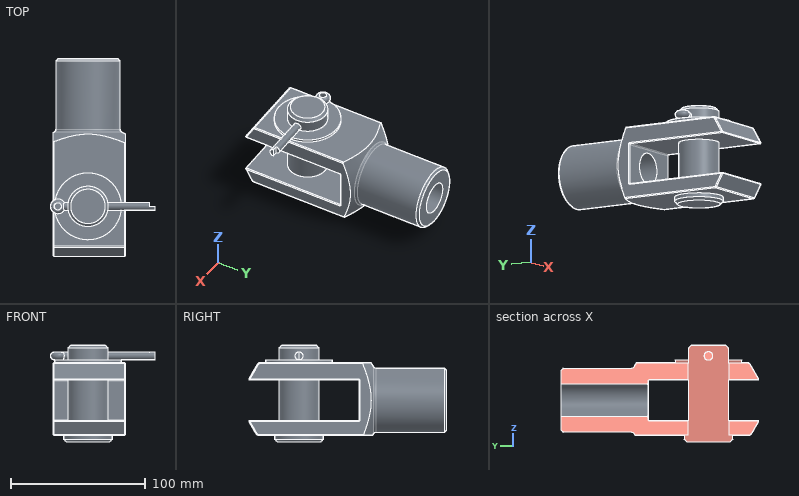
import cadquery as cq
import math


fork_left = -26.1
fork_right = 28.0
fork_bottom = -26.1
fork_top = 28.0
fork_tip_y = -37.5
fork_chamfer = 0.7
tip_bevel_angle = 30
slot_height = 30.3
slot_end_y = 44.9
slot_corner_radius = 0.7

shank_radius = 24.0
shank_end_y = 110.1
shank_chamfer = 1.8
shoulder_y = 55.5
shoulder_cone_angle = 30
neck_fillet = 2.2
bore_radius = 12.0

pin_radius = 15.0
pin_top = 41.2
pin_chamfer = 2.2
head_radius = 18.2
head_thickness = 5.2
head_chamfer = 2.2

washer_radius = 25.0
washer_thickness = 2.0

wire_radius = 3.0
eye_x = -22.5
eye_hole_radius = 2.7
short_leg_end = 45.9
long_leg_end = 50.0

head_bottom = fork_bottom - head_thickness
washer_top = fork_top + washer_thickness
split_pin_z = washer_top + wire_radius


def z_cylinder(radius, bottom, top):
    return cq.Workplane("XY").workplane(offset=bottom).circle(radius).extrude(top - bottom)


def x_cylinder(radius, start, end):
    return (
        cq.Workplane("YZ", origin=(start, 0, split_pin_z)).circle(radius).extrude(end - start)
    )


def make_fork_block():
    """Slotted, chamfered block with bevelled tips; the shoulder cone later trims its back."""
    width = fork_right - fork_left
    angle = math.radians(tip_bevel_angle)
    half_slot = slot_height / 2
    sharp_tip_y = fork_tip_y - fork_chamfer * math.sin(angle)
    top_y = sharp_tip_y + (fork_top - half_slot) * math.tan(angle)
    bottom_y = sharp_tip_y + (-fork_bottom - half_slot) * math.tan(angle)
    block = (
        cq.Workplane("YZ", origin=(fork_left, 0, 0))
        .polyline([
            (top_y, fork_top),
            (sharp_tip_y, half_slot),
            (slot_end_y, half_slot),
            (slot_end_y, -half_slot),
            (sharp_tip_y, -half_slot),
            (bottom_y, fork_bottom),
            (shoulder_y, fork_bottom),
            (shoulder_y, fork_top),
        ])
        .close()
        .extrude(width)
    )
    slot_corners = cq.selectors.BoxSelector(
        (fork_left, slot_end_y - slot_corner_radius, -slot_height),
        (fork_right, slot_end_y + slot_corner_radius, slot_height),
    )
    block = block.edges("|X").edges(slot_corners).fillet(slot_corner_radius)
    side_edges = block.faces("<X or >X").edges("not >Y")
    tip_edges = block.edges("|X").edges(
        cq.selectors.BoxSelector(
            (fork_left, sharp_tip_y - fork_chamfer, fork_bottom - fork_chamfer),
            (fork_right, 0, fork_top + fork_chamfer),
        )
    )
    return side_edges.add(tip_edges).chamfer(fork_chamfer)


def make_turned_envelope():
    """Revolved outline of the shank, neck fillet and shoulder cone."""
    cone_angle = math.radians(shoulder_cone_angle)
    turn = math.pi / 2 - cone_angle
    outer_radius = math.hypot(fork_right, fork_top) + 1.5
    fillet_center_r = shank_radius + neck_fillet
    fillet_end_r = fillet_center_r - neck_fillet * math.cos(turn)
    fillet_start_y = shoulder_y + neck_fillet * math.sin(turn)
    fillet_mid = (
        fillet_center_r - neck_fillet * math.cos(turn / 2),
        fillet_start_y - neck_fillet * math.sin(turn / 2),
    )
    cone_end_y = shoulder_y - (outer_radius - fillet_end_r) * math.tan(cone_angle)
    return (
        cq.Workplane("XY")
        .moveTo(0, fork_tip_y)
        .lineTo(outer_radius, fork_tip_y)
        .lineTo(outer_radius, cone_end_y)
        .lineTo(fillet_end_r, shoulder_y)
        .threePointArc(fillet_mid, (shank_radius, fillet_start_y))
        .lineTo(shank_radius, shank_end_y - shank_chamfer)
        .lineTo(shank_radius - shank_chamfer, shank_end_y)
        .lineTo(0, shank_end_y)
        .close()
        .revolve(360, (0, 0, 0), (0, 1, 0))
    )


def make_clevis():
    shank = (
        cq.Workplane("XZ", origin=(0, shank_end_y, 0))
        .circle(shank_radius + neck_fillet)
        .extrude(shank_end_y - shoulder_y)
    )
    body = make_fork_block().union(shank).intersect(make_turned_envelope())
    bore = (
        cq.Workplane("XZ", origin=(0, shank_end_y, 0))
        .circle(bore_radius)
        .extrude(shank_end_y - slot_end_y)
    )
    pin_hole = z_cylinder(pin_radius, fork_bottom, fork_top)
    return body.cut(bore).cut(pin_hole)


def make_pin():
    stem = z_cylinder(pin_radius, fork_bottom, pin_top).faces(">Z").chamfer(pin_chamfer)
    head = z_cylinder(head_radius, head_bottom, fork_bottom).faces("<Z").chamfer(head_chamfer)
    split_pin_hole = x_cylinder(wire_radius, -pin_radius, pin_radius)
    return stem.union(head).cut(split_pin_hole)


def make_washer():
    return z_cylinder(washer_radius, fork_top, washer_top).cut(
        z_cylinder(pin_radius, fork_top, washer_top)
    )


def make_split_pin():
    """Half-round wire bent into an eye, its two legs lying flat against each other."""
    eye = (
        cq.Workplane("XZ", origin=(eye_x, 0, split_pin_z))
        .moveTo(eye_hole_radius, -wire_radius)
        .threePointArc((eye_hole_radius + wire_radius, 0), (eye_hole_radius, wire_radius))
        .close()
        .revolve(360, (0, 0, 0), (0, 1, 0))
    )
    leg_start = eye_x + eye_hole_radius + wire_radius / 2
    leg_trim = (
        cq.Workplane("XY", origin=(short_leg_end, 0, split_pin_z - wire_radius))
        .box(long_leg_end - short_leg_end, wire_radius, 2 * wire_radius, centered=False)
    )
    legs = x_cylinder(wire_radius, leg_start, long_leg_end).cut(leg_trim)
    return eye.union(legs)


clevis = make_clevis()
pin = make_pin()
washer = make_washer()
split_pin = make_split_pin()

result = cq.Compound.makeCompound([clevis.val(), pin.val(), washer.val(), split_pin.val()])